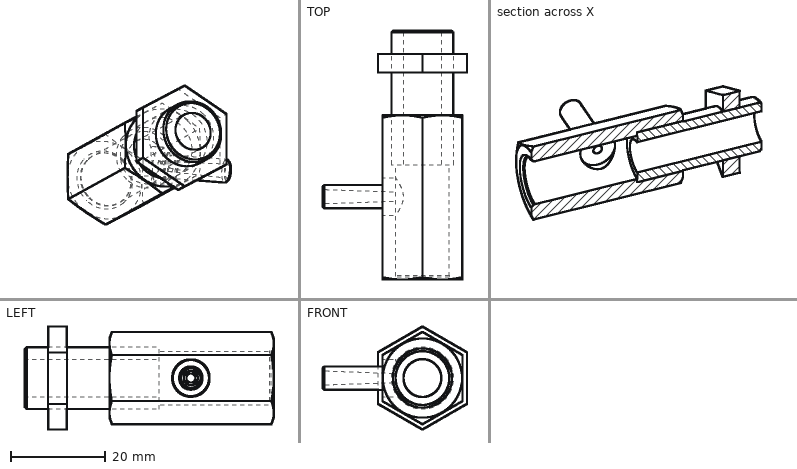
import cadquery as cq
import math


HEX_CORNER_RATIO = 1 / math.cos(math.radians(30))

body_across_flats = 17.0
body_length = 35.0
end_face_diameter = 16.85
corner_turn_length = 0.55

mouth_diameter = 12.6
land_diameter = 11.5
bore_diameter = 11.4
mouth_depth = (mouth_diameter - land_diameter) / 2
land_length = 0.3

overall_length = 53.0
stub_diameter = 13.2
stub_bore_diameter = 8.0
stub_chamfer = 0.5
stub_engagement = 10.6
stub_seat_y = body_length - stub_engagement

nut_across_corners = 21.95
nut_across_flats = nut_across_corners / HEX_CORNER_RATIO
nut_thickness = 4.0
nut_setback = 5.0
nut_back_y = overall_length - nut_setback
nut_front_y = nut_back_y - nut_thickness

port_y = 17.65
plug_outer_x = -body_across_flats / 2
plug_inner_x = -bore_diameter / 2
plug_diameter = 8.0
rim_step_width = 0.15
rim_step_depth = 0.15
tube_diameter = 5.0
tube_projection = 12.75
tube_chamfer = 0.4
tube_tip_x = plug_outer_x - tube_projection
tip_bore_diameter = 3.0
inner_bore_diameter = 1.95


def cylinder_y(diameter, y_start, y_end):
    """Solid cylinder on the main axis between two Y positions."""
    plane = cq.Workplane("XZ", origin=(0, y_start, 0))
    return plane.circle(diameter / 2).extrude(y_start - y_end)


def cylinder_x(diameter, x_start, x_end):
    """Solid cylinder on the side port axis between two X positions."""
    plane = cq.Workplane("YZ", origin=(x_start, port_y, 0))
    return plane.circle(diameter / 2).extrude(x_end - x_start)


def hexagon_y(across_flats, y_start, y_end):
    """Hexagonal prism on the main axis with flats facing -X and +X."""
    plane = cq.Workplane("XZ", origin=(0, y_start, 0)).transformed(rotate=(0, 0, 30))
    return plane.polygon(6, across_flats * HEX_CORNER_RATIO).extrude(y_start - y_end)


def turned_y(profile):
    """Solid of revolution about the main axis from (radius, y) points."""
    return cq.Workplane("XY").polyline(profile).close().revolve(360, (0, 0, 0), (0, 1, 0))


def make_turned_envelope():
    """Round blank whose conical ends cut back the corners of the hexagon."""
    end_radius = end_face_diameter / 2
    corner_radius = body_across_flats * HEX_CORNER_RATIO / 2
    return turned_y([
        (0, 0),
        (end_radius, 0),
        (corner_radius, corner_turn_length),
        (corner_radius, body_length - corner_turn_length),
        (end_radius, body_length),
        (0, body_length),
    ])


def make_socket():
    """Cavity of the body from the chamfered mouth to the stub seat."""
    bore_start_y = mouth_depth + land_length
    return turned_y([
        (0, 0),
        (mouth_diameter / 2, 0),
        (land_diameter / 2, mouth_depth),
        (land_diameter / 2, bore_start_y),
        (bore_diameter / 2, bore_start_y),
        (bore_diameter / 2, stub_seat_y),
        (0, stub_seat_y),
    ])


def make_body():
    body = hexagon_y(body_across_flats, 0, body_length).intersect(make_turned_envelope())
    body = body.cut(make_socket())
    body = body.cut(cylinder_y(stub_diameter, stub_seat_y, body_length))
    return body.cut(cylinder_x(plug_diameter, plug_outer_x, 0))


def make_stub():
    stub = cylinder_y(stub_diameter, stub_seat_y, overall_length)
    stub = stub.faces(">Y").chamfer(stub_chamfer)
    return stub.cut(cylinder_y(stub_bore_diameter, stub_seat_y, overall_length))


def make_nut():
    nut = hexagon_y(nut_across_flats, nut_front_y, nut_back_y)
    return nut.cut(cylinder_y(stub_diameter, nut_front_y, nut_back_y))


def make_tapered_bore():
    """Nipple passage, narrowing from the tube tip to the inner end of the plug."""
    tip = cq.Workplane("YZ", origin=(tube_tip_x, port_y, 0)).circle(tip_bore_diameter / 2)
    inner_end = tip.workplane(offset=plug_inner_x - tube_tip_x).circle(inner_bore_diameter / 2)
    return inner_end.loft(ruled=True)


def make_nipple():
    step_x = plug_outer_x + rim_step_depth
    plug = cylinder_x(plug_diameter, step_x, plug_inner_x)
    raised_face = cylinder_x(plug_diameter - 2 * rim_step_width, plug_outer_x, step_x)
    tube = cylinder_x(tube_diameter, tube_tip_x, plug_outer_x).faces("<X").chamfer(tube_chamfer)
    return plug.union(raised_face).union(tube).cut(make_tapered_bore())


body = make_body()
stub = make_stub()
nut = make_nut()
nipple = make_nipple()

result = cq.Compound.makeCompound([body.val(), stub.val(), nut.val(), nipple.val()])